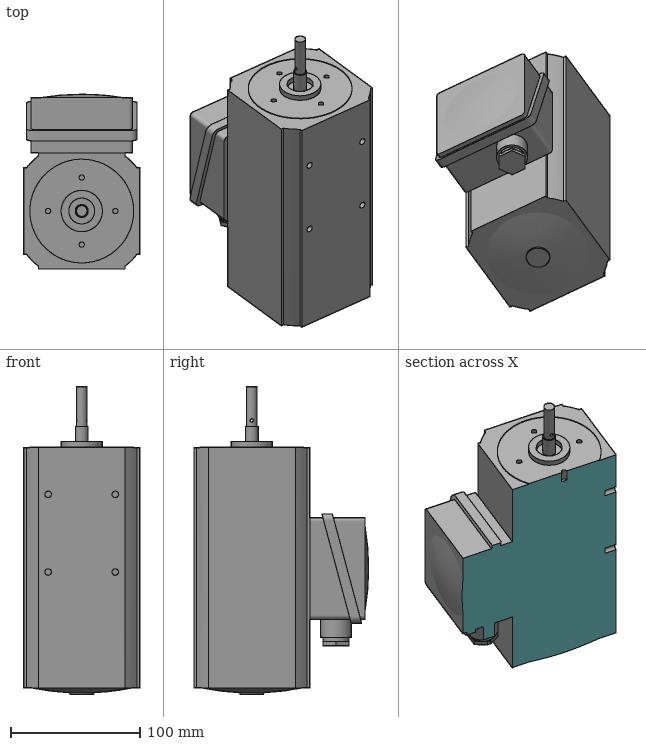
import cadquery as cq
import math

overall_depth = 135.5

body_width = 90.0
body_bottom_z = 5.2
body_top_z = 191.3
flat_width = 67.3
corner_radius = 54.4

pilot_diameter = 80.4
pilot_top_z = 191.8
collar_diameter = 32.0
collar_top_z = 196.0
collar_bore_diameter = 20.0
collar_bore_depth = 4.3
end_hole_count = 4
end_hole_circle = 52.0
end_hole_diameter = 4.0
end_hole_depth = 9.5

shaft_diameter = 10.0
shaft_step_z = 207.7
journal_diameter = 8.3
shaft_top_z = 238.5
pin_hole_diameter = 2.5
pin_hole_z = 212.3

mount_hole_diameter = 5.0
mount_hole_spacing_x = 52.0
mount_hole_spacing_z = 60.0
mount_hole_center_z = 125.0
mount_hole_depth = 9.5

tail_dome_diameter = 79.0
tail_dome_height = 4.0
tail_boss_diameter = 18.4

box_width = 79.0
box_outer_y = 87.8
box_center_z = 97.5
box_corner_radius = 3.0
box_dome_diameter = 64.9
box_dome_height = overall_depth - body_width / 2 - box_outer_y

band_width = 85.6
band_height = 85.0
band_corner_radius = 5.2
band_thickness_y = 8.0
band_center_y = 69.6
band_slant = 15.0

gland_x = -15.0
gland_y = 65.0
gland_diameter = 24.0
gland_bottom_z = 44.4
gland_neck_diameter = 20.3
gland_nut_top_z = 41.3
gland_nut_bottom_z = 37.7
gland_nut_flats = 20.3
gland_nut_sides = 6

overlap = 2.5


def cylinder(diameter, bottom_z, top_z):
    """Cylinder on the motor axis."""
    return cq.Workplane("XY").workplane(offset=bottom_z).circle(diameter / 2).extrude(top_z - bottom_z)


def dome(diameter, height):
    """Spherical cap on the XY plane, with a short cylinder below it to merge with its base."""
    radius = diameter / 2
    sphere_radius = (radius**2 + height**2) / (2 * height)
    half_angle = math.asin(radius / sphere_radius) / 2
    mid_x = sphere_radius * math.sin(half_angle)
    mid_z = height - sphere_radius * (1 - math.cos(half_angle))
    return (
        cq.Workplane("XZ")
        .moveTo(0, -overlap)
        .lineTo(radius, -overlap)
        .lineTo(radius, 0)
        .threePointArc((mid_x, mid_z), (0, height))
        .close()
        .revolve(360, (0, 0), (0, 1))
    )


def make_body():
    height = body_top_z - body_bottom_z
    base = cq.Workplane("XY").workplane(offset=body_bottom_z)
    long_flat = base.rect(body_width, flat_width).extrude(height)
    cross_flat = base.rect(flat_width, body_width).extrude(height)
    step_half_width = math.sqrt(corner_radius**2 - (flat_width / 2) ** 2)
    core = cylinder(2 * corner_radius, body_bottom_z, body_top_z)
    core = core.intersect(base.rect(2 * step_half_width, 2 * step_half_width).extrude(height))
    return core.union(long_flat).union(cross_flat)


def add_drive_end(part):
    part = part.union(cylinder(pilot_diameter, body_top_z - overlap, pilot_top_z))
    part = part.union(cylinder(collar_diameter, pilot_top_z - overlap, collar_top_z))
    bore_floor_z = collar_top_z - collar_bore_depth
    part = part.cut(cylinder(collar_bore_diameter, bore_floor_z, collar_top_z))
    end_holes = (
        cq.Workplane("XY")
        .workplane(offset=pilot_top_z)
        .polarArray(end_hole_circle / 2, 0, 360, end_hole_count)
        .circle(end_hole_diameter / 2)
        .extrude(-end_hole_depth)
    )
    part = part.cut(end_holes)
    shaft = cylinder(shaft_diameter, bore_floor_z - overlap, shaft_step_z)
    shaft = shaft.union(cylinder(journal_diameter, shaft_step_z - overlap, shaft_top_z))
    pin_hole = (
        cq.Workplane("YZ")
        .center(0, pin_hole_z)
        .circle(pin_hole_diameter / 2)
        .extrude(shaft_diameter, both=True)
    )
    return part.union(shaft.cut(pin_hole))


def add_tail_end(part):
    tail_dome = dome(tail_dome_diameter, tail_dome_height).rotate((0, 0, 0), (1, 0, 0), 180)
    part = part.union(tail_dome.translate((0, 0, body_bottom_z)))
    return part.union(cylinder(tail_boss_diameter, 0, body_bottom_z))


def cut_mount_holes(part):
    holes = (
        cq.Workplane("XZ", origin=(0, -body_width / 2, mount_hole_center_z))
        .rarray(mount_hole_spacing_x, mount_hole_spacing_z, 2, 2)
        .circle(mount_hole_diameter / 2)
        .extrude(-mount_hole_depth)
    )
    return part.cut(holes)


def rounded_block(width, height, corner, start_y, end_y):
    """Block along Y with rounded long edges, centred on the terminal box."""
    return (
        cq.Workplane("XZ", origin=(0, start_y, box_center_z))
        .rect(width, height)
        .extrude(start_y - end_y)
        .edges("|Y")
        .fillet(corner)
    )


def make_terminal_box():
    box = rounded_block(box_width, box_width, box_corner_radius, body_width / 2, box_outer_y)
    lid_dome = dome(box_dome_diameter, box_dome_height).rotate((0, 0, 0), (1, 0, 0), -90)
    box = box.union(lid_dome.translate((0, box_outer_y, box_center_z)))

    lean = band_height / 2 * math.tan(math.radians(band_slant))
    half_y = band_thickness_y / 2
    slice_outline = [
        (-lean - half_y, band_height / 2),
        (-lean + half_y, band_height / 2),
        (lean + half_y, -band_height / 2),
        (lean - half_y, -band_height / 2),
    ]
    slanted_slice = (
        cq.Workplane("YZ", origin=(0, band_center_y, box_center_z))
        .polyline(slice_outline)
        .close()
        .extrude(band_width / 2, both=True)
    )
    reach = lean + band_thickness_y
    band = rounded_block(
        band_width, band_height, band_corner_radius, band_center_y - reach, band_center_y + reach
    )
    return box.union(band.intersect(slanted_slice))


def make_gland():
    box_bottom_z = box_center_z - box_width / 2
    sleeve = cylinder(gland_diameter, gland_bottom_z, box_bottom_z + overlap)
    neck = cylinder(gland_neck_diameter, gland_nut_bottom_z, gland_bottom_z + overlap)
    nut_corners = gland_nut_flats / math.cos(math.pi / gland_nut_sides)
    nut = (
        cq.Workplane("XY")
        .workplane(offset=gland_nut_bottom_z)
        .polygon(gland_nut_sides, nut_corners)
        .extrude(gland_nut_top_z - gland_nut_bottom_z)
    )
    return sleeve.union(neck).union(nut).translate((gland_x, gland_y, 0))


result = make_body()
result = add_drive_end(result)
result = add_tail_end(result)
result = cut_mount_holes(result)
result = result.union(make_terminal_box()).union(make_gland())